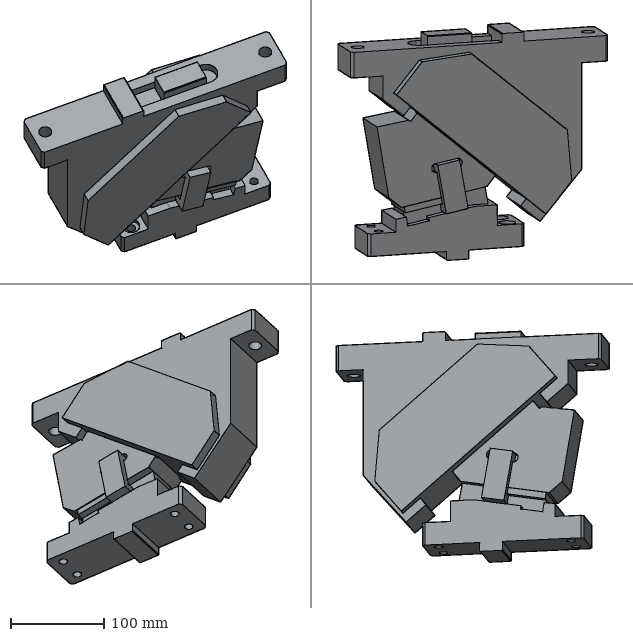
import cadquery as cq
import math

BODY_HALF_WIDTH = 25.0
KEY_LENGTH = 25.0
KEY_HEIGHT = 10.0
KEY_CHAMFER = 1.0
CORNER_CHAMFER = 3.0
TOTAL_HEIGHT = 245.0
OVERALL_WIDTH = 70.0

SLIDE_ANGLE = 40
SLIDE_ORIGIN = (97.2, 187.5)

WORK_ANGLE = 10
WORK_ORIGIN = (85.0, 62.0)

TOP_LENGTH = 290.0
TOP_THICKNESS = 28.0
TOP_FACE = TOTAL_HEIGHT - KEY_HEIGHT
TOP_UNDERSIDE = TOP_FACE - TOP_THICKNESS
HOLDER_BACK = 109.0
HOLDER_FRONT = -115.0
BACK_CORNER_Z = 181.2
FRONT_CORNER_Z = 90.5
RECESS_START = 25.0
RECESS_END = 195.2
BACK_LIP_DEPTH = 12.5
FRONT_LIP_DEPTH = 10.0
FRONT_LIP_END = 224.0
CROSS_KEY_Y = -25.0
MOUNT_HOLE_Y = 130.0
MOUNT_HOLE_DIAMETER = 13.5

SLOT_WIDTH = 25.0
SLOT_DEPTH = 10.0
SLOT_END_Y = 72.5
LONG_KEY_WIDTH = 23.8
LONG_KEY_LENGTH = 50.0
LONG_KEY_BACK = 54.8

PLATE_THICKNESS = OVERALL_WIDTH / 2 - BODY_HALF_WIDTH
PLATE_LENGTH = 220.0
PLATE_DEPTH = 85.0
PLATE_CORNER = 40.0

SLIDER_START = 35.5
SLIDER_END = 150.8
SHOULDER_GAP = 1.2
NECK_HALF_WIDTH = 20.0
SLIDER_TOE_V = -15.7
SLIDER_LEDGE_V = -12.8
SLIDER_LEDGE_START = 32.8
SLIDER_BACK_TOP = (116.0, 151.7)
SLIDER_BACK_BOTTOM = (102.7, 73.0)
SLIDER_HEEL_A = -3.5
PAD_THICKNESS = 7.0
PAD_LENGTH = 63.0
PAD_HALF_WIDTH = 24.0

BASE_BACK = 126.0
BASE_FRONT = -50.5
FLANGE_TOP = 34.8
RISER_BACK = 94.8
RISER_FRONT = -19.7
RISER_TOP = 57.5
BOTTOM_KEY_Y = 37.5
CORE_LENGTH = 94.8
CORE_ROOT_B = -26.0
CORE_HALF_WIDTH = 16.2
POST_TOP_Z = 49.0
POST_TOP_B = -11.5
POCKET_FLOOR_B = -21.8
POCKET_LENGTH = 24.6
SLOPE_B = -18.3

HOOK_START = 42.0
HOOK_WIDTH = 25.0
HOOK_TOP = 38.3
HOOK_BOTTOM = -16.5
HOOK_OUTER = 34.0
HOOK_FOOT_TOP = -PAD_THICKNESS
HOOK_NOSE_HEIGHT = 10.0

SCREW_X = 13.3
SCREW_BACK_Y = 110.5
SCREW_FRONT_Y = -34.5
SCREW_DIAMETER = 9.0
COUNTERBORE_DIAMETER = 18.3
COUNTERBORE_DEPTH = 4.0


def slide_point(u, v):
    """(Y, Z) of a point given along and above the inclined slide."""
    angle = math.radians(SLIDE_ANGLE)
    y = SLIDE_ORIGIN[0] - u * math.cos(angle) - v * math.sin(angle)
    z = SLIDE_ORIGIN[1] - u * math.sin(angle) + v * math.cos(angle)
    return (y, z)


def work_point(a, b):
    """(Y, Z) of a point given along and above the tilted working face."""
    angle = math.radians(WORK_ANGLE)
    y = WORK_ORIGIN[0] - a * math.cos(angle) + b * math.sin(angle)
    z = WORK_ORIGIN[1] + a * math.sin(angle) + b * math.cos(angle)
    return (y, z)


def prism(points, x_min, x_max):
    """A closed (Y, Z) outline extruded from x_min to x_max."""
    return cq.Workplane("YZ").workplane(offset=x_min).polyline(points).close().extrude(x_max - x_min)


def centred_prism(points, half_width):
    return prism(points, -half_width, half_width)


def box(x_min, x_max, y_min, y_max, z_min, z_max):
    corner = cq.Workplane("XY", origin=(x_min, y_min, z_min))
    return corner.box(x_max - x_min, y_max - y_min, z_max - z_min, centered=False)


def full_width_box(y_min, y_max, z_min, z_max):
    return box(-BODY_HALF_WIDTH, BODY_HALF_WIDTH, y_min, y_max, z_min, z_max)


def work_block(a_min, a_max, b_min, b_max, x_min, x_max):
    """A block aligned with the tilted working face."""
    corners = [(a_min, b_min), (a_max, b_min), (a_max, b_max), (a_min, b_max)]
    return prism([work_point(a, b) for a, b in corners], x_min, x_max)


def make_flange(y_min, y_max, z_min, z_max):
    return full_width_box(y_min, y_max, z_min, z_max).edges("|Z").chamfer(CORNER_CHAMFER)


def make_holder_body():
    """Wedge between the top flange and the slide, with the recess the slider runs in."""
    outline = [
        (HOLDER_BACK, TOP_UNDERSIDE),
        (HOLDER_BACK, BACK_CORNER_Z),
        slide_point(RECESS_START, -BACK_LIP_DEPTH),
        slide_point(RECESS_START, 0),
        slide_point(RECESS_END, 0),
        slide_point(RECESS_END, -FRONT_LIP_DEPTH),
        slide_point(FRONT_LIP_END, -FRONT_LIP_DEPTH),
        (HOLDER_FRONT, FRONT_CORNER_Z),
        (HOLDER_FRONT, TOP_UNDERSIDE),
    ]
    return centred_prism(outline, BODY_HALF_WIDTH)


def make_guide_plate(x_min):
    """Side plate along the slide with its two upper corners cut off."""
    corner_u = PLATE_LENGTH - PLATE_CORNER
    corner_v = PLATE_DEPTH - PLATE_CORNER
    outline = [
        slide_point(0, 0),
        slide_point(PLATE_LENGTH, 0),
        slide_point(PLATE_LENGTH, corner_v),
        slide_point(corner_u, PLATE_DEPTH),
        slide_point(PLATE_CORNER, PLATE_DEPTH),
        slide_point(0, corner_v),
    ]
    return prism(outline, x_min, x_min + PLATE_THICKNESS)


def make_key_slot():
    """Slot from the cross key to a round end, cut in the holder's top face."""
    radius = SLOT_WIDTH / 2
    round_centre = SLOT_END_Y - radius
    floor = TOP_FACE - SLOT_DEPTH
    slot = box(-radius, radius, CROSS_KEY_Y, round_centre, floor, TOP_FACE)
    end = cq.Workplane("XY", origin=(0, round_centre, floor)).circle(radius).extrude(SLOT_DEPTH)
    return slot.union(end)


def make_long_key():
    half = LONG_KEY_WIDTH / 2
    front = LONG_KEY_BACK - LONG_KEY_LENGTH
    key = box(-half, half, front, LONG_KEY_BACK, TOP_FACE - SLOT_DEPTH, TOTAL_HEIGHT)
    return key.edges(">Z and |Y").chamfer(KEY_CHAMFER)


def make_holder():
    half_length = TOP_LENGTH / 2
    holder = make_flange(-half_length, half_length, TOP_UNDERSIDE, TOP_FACE).union(make_holder_body())
    cross_key = full_width_box(CROSS_KEY_Y - KEY_LENGTH, CROSS_KEY_Y, TOP_FACE, TOTAL_HEIGHT)
    cross_key = cross_key.edges(">Z and |X").chamfer(KEY_CHAMFER)
    holder = holder.union(cross_key).cut(make_key_slot()).union(make_long_key())
    for x_min in (-BODY_HALF_WIDTH - PLATE_THICKNESS, BODY_HALF_WIDTH):
        holder = holder.union(make_guide_plate(x_min))
    for y in (-MOUNT_HOLE_Y, MOUNT_HOLE_Y):
        hole = cq.Workplane("XY", origin=(0, y, TOP_UNDERSIDE)).circle(MOUNT_HOLE_DIAMETER / 2)
        holder = holder.cut(hole.extrude(TOP_THICKNESS))
    return holder


def make_hook_slot(x_min, x_max):
    """Round-ended slot in the slider's side that takes a hook's nose."""
    radius = HOOK_NOSE_HEIGHT / 2
    bottom = HOOK_TOP - HOOK_NOSE_HEIGHT
    hook_end = HOOK_START + HOOK_WIDTH
    slot = work_block(HOOK_START, hook_end, bottom, HOOK_TOP, x_min, x_max)
    for a in (HOOK_START, hook_end):
        centre = work_point(a, bottom + radius)
        end = cq.Workplane("YZ").workplane(offset=x_min).center(*centre).circle(radius)
        slot = slot.union(end.extrude(x_max - x_min))
    return slot


def make_slider():
    outline = [
        slide_point(SLIDER_START, -SHOULDER_GAP),
        slide_point(SLIDER_START, SLIDER_LEDGE_V),
        slide_point(SLIDER_LEDGE_START, SLIDER_LEDGE_V),
        SLIDER_BACK_TOP,
        SLIDER_BACK_BOTTOM,
        work_point(SLIDER_HEEL_A, 0),
        work_point(CORE_LENGTH, 0),
        slide_point(SLIDER_END, SLIDER_TOE_V),
        slide_point(SLIDER_END, -SHOULDER_GAP),
    ]
    slider = centred_prism(outline, BODY_HALF_WIDTH)
    neck = [
        slide_point(SLIDER_START, -SHOULDER_GAP),
        slide_point(SLIDER_END, -SHOULDER_GAP),
        slide_point(SLIDER_END, 0),
        slide_point(SLIDER_START, 0),
    ]
    slider = slider.union(centred_prism(neck, NECK_HALF_WIDTH))
    pad = work_block(0, PAD_LENGTH, -PAD_THICKNESS, 0, -PAD_HALF_WIDTH, PAD_HALF_WIDTH)
    slider = slider.union(pad)
    hook_slot = make_hook_slot(-BODY_HALF_WIDTH, -CORE_HALF_WIDTH)
    return slider.cut(hook_slot).cut(hook_slot.mirror("YZ"))


def make_hook():
    """C-shaped return hook on the -X side: a bar with a foot on the core and a nose in the slider."""
    end = HOOK_START + HOOK_WIDTH
    bar = work_block(HOOK_START, end, HOOK_BOTTOM, HOOK_TOP, -HOOK_OUTER, -BODY_HALF_WIDTH)
    foot = work_block(HOOK_START, end, HOOK_BOTTOM, HOOK_FOOT_TOP, -HOOK_OUTER, -CORE_HALF_WIDTH)
    nose = work_block(HOOK_START, end, HOOK_TOP - HOOK_NOSE_HEIGHT, HOOK_TOP, -HOOK_OUTER, -CORE_HALF_WIDTH)
    return bar.union(foot).union(nose)


def make_riser():
    """Raised middle of the base: a post, a shallow pocket, a slope and a flat."""
    angle = math.radians(WORK_ANGLE)
    slope_length = (RISER_TOP - WORK_ORIGIN[1] - SLOPE_B * math.cos(angle)) / math.sin(angle)
    outline = [
        (RISER_BACK, FLANGE_TOP),
        (RISER_BACK, POST_TOP_Z),
        work_point(0, POST_TOP_B),
        work_point(0, POCKET_FLOOR_B),
        work_point(POCKET_LENGTH, POCKET_FLOOR_B),
        work_point(POCKET_LENGTH, SLOPE_B),
        work_point(slope_length, SLOPE_B),
        (RISER_FRONT, RISER_TOP),
        (RISER_FRONT, FLANGE_TOP),
    ]
    return centred_prism(outline, BODY_HALF_WIDTH)


def make_core():
    """Tilted block above the riser that carries the slider, notched for the wear pad."""
    outline = [
        work_point(0, CORE_ROOT_B),
        work_point(0, -PAD_THICKNESS),
        work_point(PAD_LENGTH, -PAD_THICKNESS),
        work_point(PAD_LENGTH, 0),
        work_point(CORE_LENGTH, 0),
        work_point(CORE_LENGTH, CORE_ROOT_B),
    ]
    return centred_prism(outline, CORE_HALF_WIDTH)


def make_flange_hole(x, y, diameter, depth):
    """A cylinder reaching down from the top of the base flange."""
    return cq.Workplane("XY", origin=(x, y, FLANGE_TOP)).circle(diameter / 2).extrude(-depth)


def make_base():
    base = make_flange(BASE_FRONT, BASE_BACK, KEY_HEIGHT, FLANGE_TOP)
    key = full_width_box(BOTTOM_KEY_Y - KEY_LENGTH, BOTTOM_KEY_Y, 0, KEY_HEIGHT)
    key = key.edges("<Z and |X").chamfer(KEY_CHAMFER)
    base = base.union(key).union(make_riser()).union(make_core())
    hook = make_hook()
    base = base.union(hook).union(hook.mirror("YZ"))
    for x in (-SCREW_X, SCREW_X):
        base = base.cut(make_flange_hole(x, SCREW_BACK_Y, SCREW_DIAMETER, FLANGE_TOP))
        base = base.cut(make_flange_hole(x, SCREW_FRONT_Y, SCREW_DIAMETER, FLANGE_TOP))
        base = base.cut(make_flange_hole(x, SCREW_FRONT_Y, COUNTERBORE_DIAMETER, COUNTERBORE_DEPTH))
    return base


holder = make_holder()
slider = make_slider()
base = make_base()
result = cq.Compound.makeCompound([holder.val(), slider.val(), base.val()])